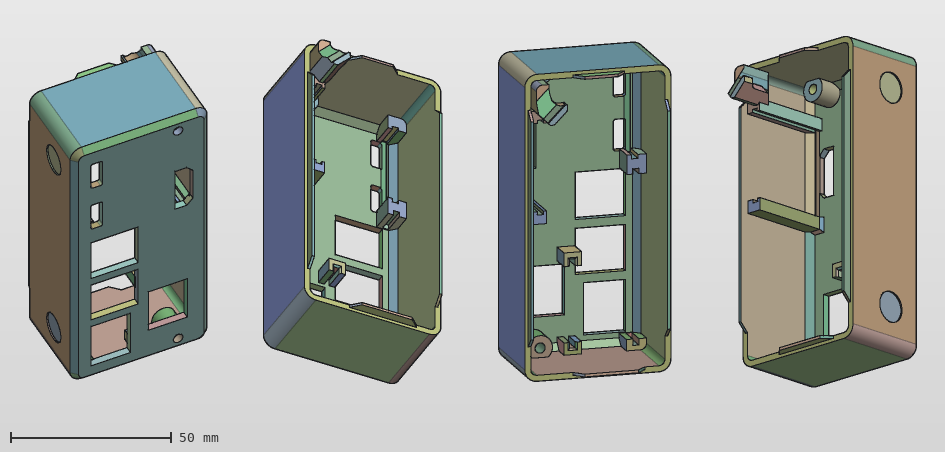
import cadquery as cq
import math


HEIGHT = 99.0
WIDTH = 47.5
DEPTH = 30.5
WALL = 2.0
BACK_THICKNESS = 2.5
CORNER_RADIUS = 4.0
BACK_CHAMFER = 2.0
CAVITY_CHAMFER = 2.2
FLOOR_X = DEPTH - BACK_THICKNESS
CAVITY_Y = WIDTH / 2 - WALL
CAVITY_Z = HEIGHT / 2 - WALL
FRONT_X = -11.9

LIP_HEIGHT = 3.0
LIP_THICKNESS = 0.9
SIDE_LIP_Z = (-38.1, 38.1)
TOP_LIP_Y = (-8.6, 8.1)
BOTTOM_LIP_Y = (-15.2, 8.1)

RECESS_DIAMETER = 10.0
RECESS_DEPTH = 0.5
RECESS_X = 17.0
RECESS_Z = 35.9

WINDOWS = [
    ((-17.4, -1.1), (-6.1, 9.1)),
    ((-17.4, -1.1), (-23.9, -9.0)),
    ((-17.4, -3.8), (-43.6, -26.7)),
    ((2.5, 15.9), (-36.6, -20.2)),
]
SLOT_Y = (-17.5, -13.5)
SLOT_Z_RANGES = [(32.4, 42.6), (14.9, 25.1)]
SLOT_CORNER = 0.7
CONNECTOR_Y = (11.7, 17.9)
CONNECTOR_Z = (11.4, 27.5)
CONNECTOR_CHAMFER = 2.2

GROOVE_DEPTH = 0.5
LOWER_GROOVE_FLOOR_GAP = 0.5
LATCH_SIDE_GROOVE = ((17.6, CAVITY_Y - CAVITY_CHAMFER), (4.1, 34.65))
UPPER_GROOVE = ((-19.0, -16.9), (14.3, 43.6))
LOWER_GROOVE = ((-19.3, -17.3), (-45.9, 11.0))

BAR_Y = 16.6
BAR_TIP_X = 0.2
BAR_Z = (1.1, 5.1)
BAR_FOOT = 1.0
BAR_FOOT_CHAMFER = 0.99 * BAR_FOOT

POST_HEIGHT = 8.0
POSTS = [
    (-15.4, (42.6, CAVITY_Z)),
    (-15.4, (9.3, 15.5)),
    (-15.2, (-CAVITY_Z, -43.9)),
]

BOSS_DIAMETER = 8.0
SCREW_DIAMETER = 3.3
BOSS_HEIGHT = 8.0
BOSS_Y = 12.8
BOSS_Z = 44.5

CLIP_HEIGHT = 7.4
CLIP_Y = (-0.9, 4.9)
CLIP_SLOT_WIDTH = 1.8
CLIP_SLOT_CHAMFER = 0.6
UPPER_CLIP_Z = (-19.0, -14.6)
UPPER_CLIP_SLOT_END = -16.8
LOWER_CLIP_Z = (-CAVITY_Z, -43.6)
LOWER_CLIP_SLOT_END = -45.5

LATCH_FACE_Y = 17.7
LATCH_HOLLOW_Z = 44.7
LATCH_HOLLOW_RADIUS = LATCH_FACE_Y - BOSS_Y
LATCH_BOTTOM_Z = 35.6
LATCH_INNER_SUM = 53.0
LATCH_END_DIFF = 17.0
LATCH_REAR_DIFF = -12.6
LATCH_TIP_X = -10.5
LATCH_STEP_X = -9.9
LATCH_STEP_SUM = 55.5
LATCH_SHOULDER_X = -5.8
LATCH_SHOULDER_SUM = 64.2
JAW_Y = 13.1
JAW_LEDGE_Z = 41.8
JAW_TOP_Z = 43.6
JAW_GROOVE_RADIUS = 5.8 / 2
JAW_GROOVE_Y = 14.85
JAW_GROOVE_Z = 44.5
RELIEF_DIFF = 24.9
RELIEF_SUM = 58.8
RELIEF_RADIUS = 2.4
RELIEF_X = (-4.6, 1.4)
LATCH_FOOT_Y = 16.6
LATCH_FOOT_Z = (33.7, 37.6)


def box(x, y, z):
    """Axis-aligned box from three (low, high) ranges."""
    return cq.Workplane("XY").box(
        x[1] - x[0], y[1] - y[0], z[1] - z[0], centered=False
    ).translate((x[0], y[0], z[0]))


def cavity():
    """Inside of the case with its chamfered back edge, prolonged forward past the rim."""
    span = (FRONT_X, FLOOR_X)
    chamfered = box(span, (-CAVITY_Y, CAVITY_Y), (-CAVITY_Z, CAVITY_Z))
    chamfered = chamfered.faces(">X").edges().chamfer(CAVITY_CHAMFER)
    rounded = box(span, (-CAVITY_Y, CAVITY_Y), (-CAVITY_Z, CAVITY_Z))
    rounded = rounded.edges("|X").fillet(CORNER_RADIUS - WALL)
    return chamfered.intersect(rounded)


def shell():
    return (
        cq.Workplane("YZ")
        .rect(WIDTH, HEIGHT)
        .extrude(DEPTH)
        .edges("|X").fillet(CORNER_RADIUS)
        .faces(">X").edges().chamfer(BACK_CHAMFER)
        .cut(cavity())
    )


def lip(plane, span, inner_face):
    """Lip with 45-degree ends, drawn in a plane of x and its length, standing on one wall."""
    low, high = span
    outline = [
        (WALL, low),
        (0, low),
        (-LIP_HEIGHT, low + LIP_HEIGHT),
        (-LIP_HEIGHT, high - LIP_HEIGHT),
        (0, high),
        (WALL, high),
    ]
    return cq.Workplane(plane).workplane(offset=inner_face).polyline(outline).close().extrude(LIP_THICKNESS)


def lips():
    side = cq.Plane(origin=(0, 0, 0), xDir=(1, 0, 0), normal=(0, -1, 0))
    flat = cq.Plane(origin=(0, 0, 0), xDir=(1, 0, 0), normal=(0, 0, 1))
    return [
        lip(side, SIDE_LIP_Z, CAVITY_Y),
        lip(side, SIDE_LIP_Z, -CAVITY_Y - LIP_THICKNESS),
        lip(flat, TOP_LIP_Y, CAVITY_Z),
        lip(flat, BOTTOM_LIP_Y, -CAVITY_Z - LIP_THICKNESS),
    ]


def support_bar():
    """Full-depth bar on the +Y wall with a chamfered foot."""
    bar = box((BAR_TIP_X, FLOOR_X), (BAR_Y, CAVITY_Y), BAR_Z)
    foot = (
        box(
            (FLOOR_X - BAR_FOOT, FLOOR_X),
            (BAR_Y - BAR_FOOT, CAVITY_Y),
            (BAR_Z[0] - BAR_FOOT, BAR_Z[1]),
        )
        .faces("<X").edges("<Y or <Z").chamfer(BAR_FOOT_CHAMFER)
    )
    return bar.union(foot).intersect(cavity())


def through_back(y, z):
    return box((FLOOR_X - CAVITY_CHAMFER, DEPTH), y, z)


def latch_side_groove():
    return box((FRONT_X, FLOOR_X + GROOVE_DEPTH), *LATCH_SIDE_GROOVE)


def upper_groove():
    return box((FRONT_X, FLOOR_X + GROOVE_DEPTH), *UPPER_GROOVE)


def lower_groove():
    return box((FRONT_X, FLOOR_X - LOWER_GROOVE_FLOOR_GAP), *LOWER_GROOVE)


def connector_opening():
    opening = through_back(CONNECTOR_Y, CONNECTOR_Z)
    return opening.edges("|X and >Y").chamfer(CONNECTOR_CHAMFER)


def round_recess(z):
    return (
        cq.Workplane("XZ", origin=(RECESS_X, -WIDTH / 2, z))
        .circle(RECESS_DIAMETER / 2)
        .extrude(-RECESS_DEPTH)
    )


def along_x(y, z, diameter, x):
    """Cylinder parallel to X."""
    return cq.Workplane("YZ", origin=(x[0], y, z)).circle(diameter / 2).extrude(x[1] - x[0])


def housing():
    body = shell()
    for rim_lip in lips():
        body = body.union(rim_lip)
    body = body.union(support_bar())
    for y, z in WINDOWS:
        body = body.cut(through_back(y, z))
    for z in SLOT_Z_RANGES:
        body = body.cut(through_back(SLOT_Y, z).edges("|X").fillet(SLOT_CORNER))
    body = body.cut(connector_opening())
    body = body.cut(latch_side_groove()).cut(upper_groove())
    for z in (-BOSS_Z, BOSS_Z):
        body = body.cut(along_x(BOSS_Y, z, SCREW_DIAMETER, (0, DEPTH)))
    for z in (-RECESS_Z, RECESS_Z):
        body = body.cut(round_recess(z))
    return body


def screw_boss(z):
    """Hollow boss, flattened where it meets the end wall."""
    span = (FLOOR_X - BOSS_HEIGHT, FLOOR_X)
    boss = along_x(BOSS_Y, z, BOSS_DIAMETER, span).intersect(cavity())
    return boss.cut(along_x(BOSS_Y, z, SCREW_DIAMETER, span))


def grooved_post(inner_y, z):
    """Post in the angle of the back and -Y walls, notched by the board grooves."""
    post = box((FLOOR_X - POST_HEIGHT, FLOOR_X), (-CAVITY_Y, inner_y), z).intersect(cavity())
    return post.cut(upper_groove()).cut(lower_groove())


def slotted_clip(z, open_z, slot_end):
    """Block with a slot from open_z to slot_end whose mouth is chamfered at the tip."""
    tip_x = FLOOR_X - CLIP_HEIGHT
    middle_y = sum(CLIP_Y) / 2
    slot_y = (middle_y - CLIP_SLOT_WIDTH / 2, middle_y + CLIP_SLOT_WIDTH / 2)
    past_open_z = 2 * open_z - slot_end
    slot = box((tip_x, FLOOR_X), slot_y, sorted((slot_end, past_open_z)))
    mouth = (
        cq.Workplane("YZ", origin=(tip_x, middle_y, open_z))
        .rect(
            CLIP_SLOT_WIDTH + 2 * CLIP_SLOT_CHAMFER,
            2 * abs(open_z - slot_end) + 2 * CLIP_SLOT_CHAMFER,
        )
        .workplane(offset=CLIP_SLOT_CHAMFER)
        .rect(CLIP_SLOT_WIDTH, 2 * abs(open_z - slot_end))
        .loft()
    )
    block = box((tip_x, FLOOR_X), CLIP_Y, z).intersect(cavity())
    return block.cut(slot).cut(mouth)


def latch_section():
    """Stem of the latch along X, hollowed beside the boss."""
    length = FLOOR_X - LATCH_TIP_X
    outline = [
        (CAVITY_Y, CAVITY_Z),
        (LATCH_FACE_Y, CAVITY_Z),
        (LATCH_FACE_Y, LATCH_HOLLOW_Z),
        (BOSS_Y, LATCH_HOLLOW_Z),
        (BOSS_Y, LATCH_INNER_SUM - BOSS_Y),
        (LATCH_INNER_SUM - LATCH_BOTTOM_Z, LATCH_BOTTOM_Z),
        (LATCH_BOTTOM_Z - LATCH_END_DIFF, LATCH_BOTTOM_Z),
        (CAVITY_Y, CAVITY_Y + LATCH_END_DIFF),
    ]
    stem = cq.Workplane("YZ", origin=(LATCH_TIP_X, 0, 0)).polyline(outline).close().extrude(length)
    return stem.cut(along_x(BOSS_Y, LATCH_HOLLOW_Z, 2 * LATCH_HOLLOW_RADIUS, (LATCH_TIP_X, FLOOR_X)))


def latch_jaw():
    """Thicker end of the latch with a round groove along X."""
    outline = [
        (LATCH_FACE_Y, JAW_TOP_Z),
        (JAW_GROOVE_Y, JAW_GROOVE_Z),
        (JAW_GROOVE_Y - math.sqrt(JAW_GROOVE_RADIUS**2 - (JAW_GROOVE_Z - JAW_LEDGE_Z) ** 2), JAW_LEDGE_Z),
        (JAW_Y, JAW_LEDGE_Z),
        (JAW_Y, LATCH_INNER_SUM - JAW_Y),
        (LATCH_INNER_SUM - LATCH_BOTTOM_Z, LATCH_BOTTOM_Z),
    ]
    span = (LATCH_TIP_X, RELIEF_X[0])
    jaw = cq.Workplane("YZ", origin=(span[0], 0, 0)).polyline(outline).close().extrude(span[1] - span[0])
    return jaw.cut(along_x(JAW_GROOVE_Y, JAW_GROOVE_Z, 2 * JAW_GROOVE_RADIUS, span))


def latch_relief(start_sum):
    """From y + z = start_sum down: cut that thins the stem and runs into the jaw with a radius."""
    reach = 2 * LATCH_HOLLOW_RADIUS
    start_y = (start_sum - RELIEF_DIFF) / 2
    start_z = (start_sum + RELIEF_DIFF) / 2
    plane = cq.Plane(origin=(0, start_y, start_z), xDir=(1, 0, 0), normal=(0, -1, -1))
    front, rear = RELIEF_X
    return (
        cq.Workplane(plane)
        .moveTo(front, 0)
        .lineTo(rear, 0)
        .lineTo(rear, reach)
        .lineTo(front - RELIEF_RADIUS, reach)
        .lineTo(front - RELIEF_RADIUS, RELIEF_RADIUS)
        .radiusArc((front, 0), -RELIEF_RADIUS)
        .close()
        .extrude(reach)
    )


def latch_ramp():
    """Side profile of the latch: shoulder, 45-degree ramp and stepped tip."""
    plane = cq.Plane(origin=(0, 0, 0), xDir=(1, 0, 0), normal=(0, -1, 1))
    root2 = math.sqrt(2)
    shoulder = LATCH_SHOULDER_SUM / root2
    ramp_end = shoulder - (LATCH_SHOULDER_X - LATCH_STEP_X)
    step = LATCH_STEP_SUM / root2
    outline = [
        (FLOOR_X, HEIGHT),
        (LATCH_SHOULDER_X, HEIGHT),
        (LATCH_SHOULDER_X, shoulder),
        (LATCH_STEP_X, ramp_end),
        (LATCH_STEP_X, step),
        (LATCH_TIP_X, step),
        (LATCH_TIP_X, 0),
        (FLOOR_X, 0),
    ]
    return cq.Workplane(plane).polyline(outline).close().extrude(HEIGHT)


def latch_rear():
    """Everything in front of the slanted rear face of the latch."""
    outline = [
        (FRONT_X, 0),
        (LATCH_REAR_DIFF, 0),
        (CAVITY_Y + LATCH_REAR_DIFF, CAVITY_Y),
        (FRONT_X, CAVITY_Y),
    ]
    return cq.Workplane("XY").polyline(outline).close().extrude(HEIGHT)


def corner_latch():
    stem = latch_section().cut(latch_relief(RELIEF_SUM))
    jaw = latch_jaw().cut(latch_relief(LATCH_FACE_Y + JAW_TOP_Z))
    latch = stem.union(jaw)
    latch = latch.intersect(latch_ramp()).intersect(latch_rear())
    foot = box((0, FLOOR_X), (LATCH_FOOT_Y, CAVITY_Y), LATCH_FOOT_Z)
    foot = foot.cut(latch_side_groove())
    return latch.union(foot).intersect(cavity())


case = housing()
latch = corner_latch()
bosses = [screw_boss(z) for z in (-BOSS_Z, BOSS_Z)]
posts = [grooved_post(inner_y, z) for inner_y, z in POSTS]
clips = [
    slotted_clip(UPPER_CLIP_Z, UPPER_CLIP_Z[0], UPPER_CLIP_SLOT_END),
    slotted_clip(LOWER_CLIP_Z, LOWER_CLIP_Z[1], LOWER_CLIP_SLOT_END),
]

result = cq.Compound.makeCompound(
    [body.solids().val() for body in [case, latch, *bosses, *posts, *clips]]
)